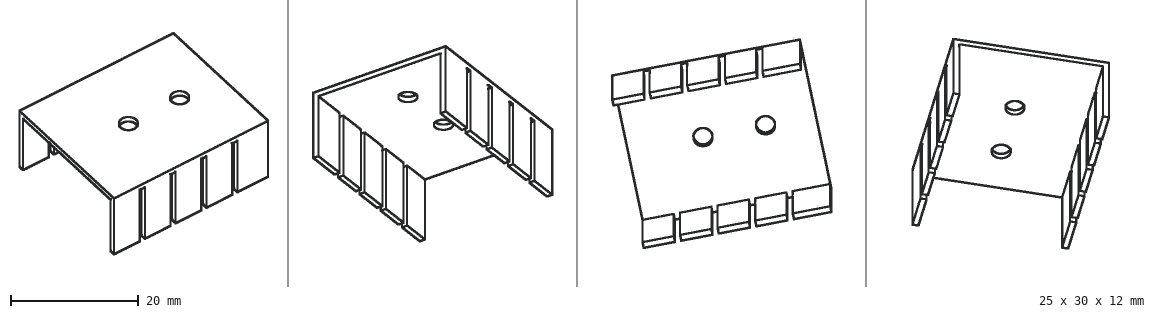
import cadquery as cq

width = 25.0
length = 30.0
height = 12.0
thickness = 1.0

hole_diameter = 3.0
hole_offsets = (8.0, 18.0)

slot_count = 4
slot_pitch = length / (slot_count + 1)
slot_width = 1.0

back = length / 2


def make_channel():
    """U-shaped channel, open downwards, with its top face at Z = height."""
    block = cq.Workplane("XY").box(width, length, height, centered=(True, True, False))
    cavity = cq.Workplane("XY").box(
        width - 2 * thickness, length, height - thickness, centered=(True, True, False)
    )
    return block.cut(cavity)


def make_slots():
    """Cutters crossing both side walls, reaching up to the underside of the plate."""
    centers = [
        (0, back - (i + 1) * slot_pitch - slot_width / 2) for i in range(slot_count)
    ]
    return cq.Workplane("XY").pushPoints(centers).rect(width, slot_width).extrude(height - thickness)


def make_holes():
    """Cutters for the mounting holes through the top plate."""
    centers = [(0, back - offset) for offset in hole_offsets]
    return cq.Workplane("XY").pushPoints(centers).circle(hole_diameter / 2).extrude(height)


result = make_channel().cut(make_slots()).cut(make_holes())